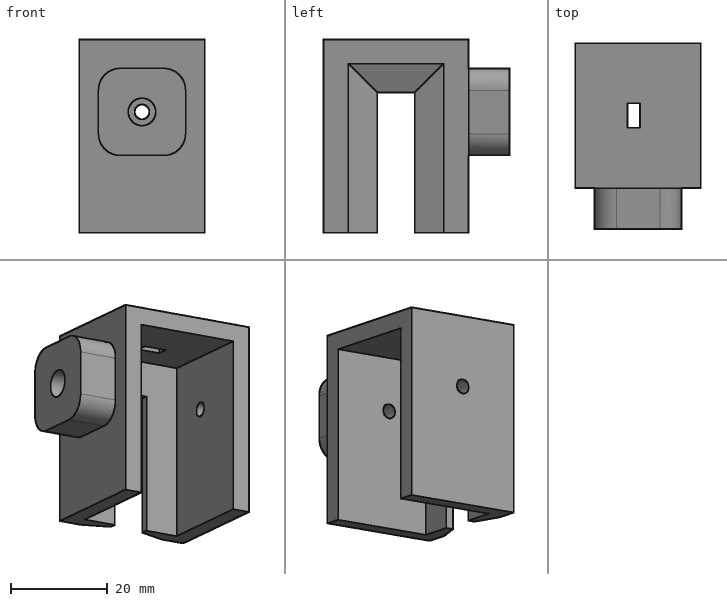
import cadquery as cq

block_x = 26.0
block_y = 30.0
block_z = 40.0

boss_side = 18.0
boss_length = 8.5
boss_corner_radius = 4.5
boss_drop = 15.0
boss_z = block_z - boss_drop

bore_diameter = 3.0
counterbore_diameter = 5.7
counterbore_depth = boss_length

slot_width = 7.7
slot_top = 29.0
bevel_width = 6.0
bevel_depth = 2.0
lip_thickness = 1.7

cavity_start = bevel_depth + lip_thickness
cavity_undercut = 7.3
cavity_width = slot_width + 2 * cavity_undercut
cavity_top = slot_top + cavity_undercut

window_x = 2.5
window_y = 5.0
window_offset_x = -0.9

left = -block_x / 2
front = -block_y / 2


def opening_profile(x, width, top):
    """Rectangle in the YZ plane at x, rising from the bottom face."""
    return cq.Workplane("YZ", origin=(x, 0, top / 2)).rect(width, top)


def slot_bevel():
    """Mouth of the slot, tapering on both sides and the top but not the bottom."""
    mouth_width = slot_width + 2 * bevel_width
    mouth_top = slot_top + bevel_width
    return (
        opening_profile(left, mouth_width, mouth_top)
        .workplane(offset=bevel_depth)
        .center(0, (slot_top - mouth_top) / 2)
        .rect(slot_width, slot_top)
        .loft(ruled=True)
    )


def boss():
    return (
        cq.Workplane("XZ", origin=(0, front, boss_z))
        .rect(boss_side, boss_side)
        .extrude(boss_length)
        .edges("|Y")
        .fillet(boss_corner_radius)
    )


def stepped_bore():
    """Small bore through the whole part with a counterbore from the boss face."""
    boss_face = cq.Workplane("XZ", origin=(0, front - boss_length, boss_z))
    bore = boss_face.circle(bore_diameter / 2).extrude(-(boss_length + block_y))
    counterbore = boss_face.circle(counterbore_diameter / 2).extrude(-counterbore_depth)
    return bore.union(counterbore)


block = cq.Workplane("XY").box(block_x, block_y, block_z, centered=(True, True, False))
slot = opening_profile(left, slot_width, slot_top).extrude(cavity_start)
cavity = opening_profile(left + cavity_start, cavity_width, cavity_top).extrude(block_x - cavity_start)
window = (
    cq.Workplane("XY", origin=(window_offset_x, 0, cavity_top))
    .rect(window_x, window_y)
    .extrude(block_z - cavity_top)
)

result = (
    block.union(boss())
    .cut(slot)
    .cut(slot_bevel())
    .cut(cavity)
    .cut(window)
    .cut(stepped_bore())
)